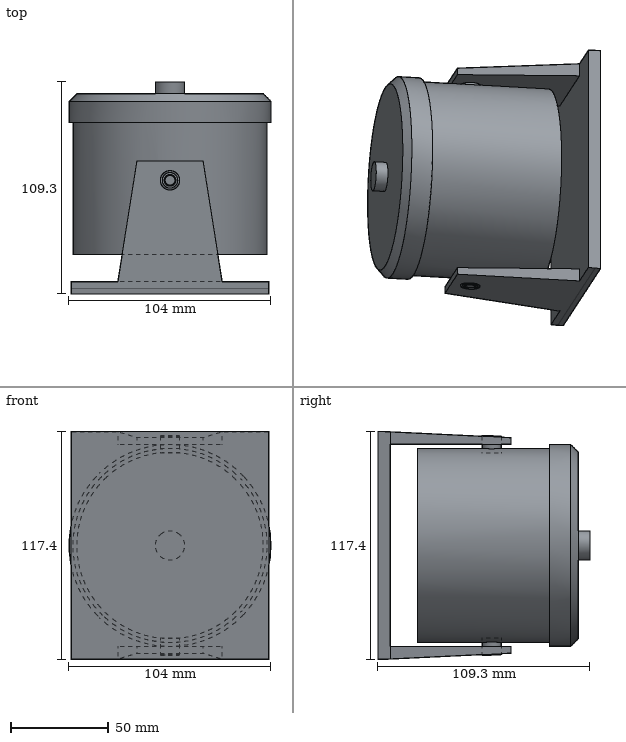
import cadquery as cq

PLATE_WIDTH = 101.8
BRACKET_HEIGHT = 117.4
PLATE_THICKNESS = 6.5
TAPER_START = 2.9
ARM_END = 68.6
ARM_GAP = 104.0
ARM_TIP_THICKNESS = 3.5
ARM_BASE_WIDTH = 53.8
ARM_TIP_WIDTH = 34.0

BODY_DIAMETER = 100.0
CAP_DIAMETER = 104.0
STUB_DIAMETER = 15.0
BODY_START = 20.3
CAP_START = 88.3
CAP_END = 103.2
CAP_CHAMFER = 4.0
STUB_END = 109.3

PIN_DIAMETER = 10.0
BEAD_INNER_DIAMETER = 8.0
BUTTON_DIAMETER = 6.0
BUTTON_TOP_DIAMETER = 5.0
PIN_Y = 58.6
SEAT_DEPTH = 2.3
BUTTON_HEIGHT = 0.4

HALF_HEIGHT = BRACKET_HEIGHT / 2
ARM_TIP_Z = ARM_GAP / 2 + ARM_TIP_THICKNESS
ARM_SLOPE = (HALF_HEIGHT - ARM_TIP_Z) / (ARM_END - TAPER_START)
PIN_FACE_Z = HALF_HEIGHT - ARM_SLOPE * (PIN_Y - TAPER_START)
SEAT_Z = BODY_DIAMETER / 2 - SEAT_DEPTH

PIN_FACE = cq.Plane(origin=(0, PIN_Y, PIN_FACE_Z), xDir=(1, 0, 0), normal=(0, ARM_SLOPE, 1))


def make_pin_shank(length):
    """Plain cylinder on the upper pivot axis, from the seat floor outward."""
    return cq.Workplane("XY", origin=(0, PIN_Y, SEAT_Z)).circle(PIN_DIAMETER / 2).extrude(length)


def make_button():
    """Low cone frustum in the middle of the pin end."""
    return (
        cq.Workplane(PIN_FACE)
        .circle(BUTTON_DIAMETER / 2)
        .workplane(offset=BUTTON_HEIGHT)
        .circle(BUTTON_TOP_DIAMETER / 2)
        .loft()
    )


def make_bead():
    """Half-round ring along the edge of the pin end."""
    inner_radius = BEAD_INNER_DIAMETER / 2
    outer_radius = PIN_DIAMETER / 2
    crest = ((inner_radius + outer_radius) / 2, (outer_radius - inner_radius) / 2)
    section_plane = cq.Plane(origin=PIN_FACE.origin, xDir=(1, 0, 0), normal=PIN_FACE.yDir * -1)
    return (
        cq.Workplane(section_plane)
        .moveTo(inner_radius, 0)
        .threePointArc(crest, (outer_radius, 0))
        .close()
        .revolve(360, (0, 0, 0), (0, 1, 0))
    )


def make_upper_pin():
    below_face = (
        cq.Workplane("YZ")
        .polyline([
            (0, 0),
            (ARM_END, 0),
            (ARM_END, ARM_TIP_Z),
            (TAPER_START, HALF_HEIGHT),
            (0, HALF_HEIGHT),
        ])
        .close()
        .extrude(PIN_DIAMETER, both=True)
    )
    shank = make_pin_shank(HALF_HEIGHT - SEAT_Z).intersect(below_face)
    return shank.union(make_bead()).union(make_button())


def make_bracket():
    inner_z = ARM_GAP / 2
    channel = (
        cq.Workplane("YZ")
        .polyline([
            (0, -HALF_HEIGHT),
            (TAPER_START, -HALF_HEIGHT),
            (ARM_END, -ARM_TIP_Z),
            (ARM_END, -inner_z),
            (PLATE_THICKNESS, -inner_z),
            (PLATE_THICKNESS, inner_z),
            (ARM_END, inner_z),
            (ARM_END, ARM_TIP_Z),
            (TAPER_START, HALF_HEIGHT),
            (0, HALF_HEIGHT),
        ])
        .close()
        .extrude(PLATE_WIDTH / 2, both=True)
    )
    outline = (
        cq.Workplane("XY")
        .polyline([
            (-PLATE_WIDTH / 2, 0),
            (PLATE_WIDTH / 2, 0),
            (PLATE_WIDTH / 2, PLATE_THICKNESS),
            (ARM_BASE_WIDTH / 2, PLATE_THICKNESS),
            (ARM_TIP_WIDTH / 2, ARM_END),
            (-ARM_TIP_WIDTH / 2, ARM_END),
            (-ARM_BASE_WIDTH / 2, PLATE_THICKNESS),
            (-PLATE_WIDTH / 2, PLATE_THICKNESS),
        ])
        .close()
        .extrude(HALF_HEIGHT, both=True)
    )
    pin_holes = (
        cq.Workplane("XY")
        .center(0, PIN_Y)
        .circle(PIN_DIAMETER / 2)
        .extrude(HALF_HEIGHT, both=True)
    )
    return channel.intersect(outline).cut(pin_holes)


def make_housing():
    cap_radius = CAP_DIAMETER / 2
    housing = (
        cq.Workplane("XY")
        .polyline([
            (0, BODY_START),
            (BODY_DIAMETER / 2, BODY_START),
            (BODY_DIAMETER / 2, CAP_START),
            (cap_radius, CAP_START),
            (cap_radius, CAP_END - CAP_CHAMFER),
            (cap_radius - CAP_CHAMFER, CAP_END),
            (STUB_DIAMETER / 2, CAP_END),
            (STUB_DIAMETER / 2, STUB_END),
            (0, STUB_END),
        ])
        .close()
        .revolve(360, (0, 0, 0), (0, 1, 0))
    )
    upper_seat = make_pin_shank(SEAT_DEPTH)
    return housing.cut(upper_seat).cut(upper_seat.mirror("XY"))


def make_pin(side):
    """Pivot pin above (side = 1) or below (side = -1) the housing."""
    pin = make_upper_pin()
    return pin if side > 0 else pin.mirror("XY")


bracket = make_bracket()
housing = make_housing()
pins = [make_pin(side) for side in (1, -1)]

result = cq.Compound.makeCompound([
    bracket.solids().val(),
    housing.solids().val(),
    *[pin.solids().val() for pin in pins],
])